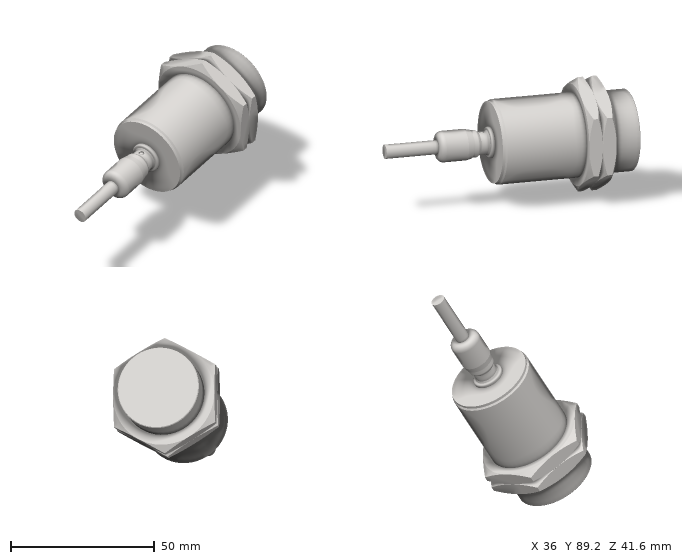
import cadquery as cq
import math

TOTAL_LENGTH = 89.2

BODY_RADIUS = 15.0
FACE_RADIUS = 14.45
BODY_END = 50.5
FACE_CHAMFER = 0.3
REAR_TAPER_START = 49.0
REAR_TAPER_END = 49.5

NUT_START = 10.0
NUT_WIDTH = 5.0
NUT_COUNT = 2
NUT_ACROSS_CORNERS = 41.6
NUT_CHAMFER_ANGLE = 30.0

CONNECTOR_RADIUS = 5.5
FLANGE_RIM_END = 51.2
FLANGE_ROUND = 0.5
FLANGE_CONE_RADIUS = 4.5
NECK_RADIUS = 4.0
NECK_START = 52.3
NECK_END = 54.95
COLLAR_RADIUS = 4.8
COLLAR_CONE_RADIUS = 4.6
COLLAR_CONE_END = 55.75
COLLAR_ROUND = 0.8
COLLAR_START = 56.3
COLLAR_END = 57.9
SHOULDER_RADIUS = 5.1
GRIP_START = 60.0
GRIP_END = 70.2
GRIP_ROUND = 2.05
CABLE_RADIUS = 2.5

LAMP_RADIUS = 1.0
LAMP_POSITION = 53.6
LAMP_TOP = NECK_RADIUS
LAMP_CENTER_HEIGHT = LAMP_TOP - LAMP_RADIUS


def turned(half_profile):
    """Revolve a closed profile drawn as (radius, Y) about the Y axis."""
    return half_profile.close().revolve(360, (0, 0, 0), (0, 1, 0))


def sensor_body():
    profile = (
        cq.Workplane("XY")
        .lineTo(FACE_RADIUS - FACE_CHAMFER, 0)
        .lineTo(FACE_RADIUS, -FACE_CHAMFER)
        .lineTo(FACE_RADIUS, -NUT_START)
        .lineTo(BODY_RADIUS, -NUT_START)
        .lineTo(BODY_RADIUS, -REAR_TAPER_START)
        .lineTo(FACE_RADIUS, -REAR_TAPER_END)
        .lineTo(FACE_RADIUS, -BODY_END)
        .lineTo(0, -BODY_END)
    )
    return turned(profile)


def nut(start):
    """Hexagonal nut with corners on Z, chamfered conically on both faces."""
    corner_radius = NUT_ACROSS_CORNERS / 2
    flat_radius = corner_radius * math.cos(math.pi / 6)
    chamfer_depth = (corner_radius - flat_radius) * math.tan(math.radians(NUT_CHAMFER_ANGLE))
    end = start + NUT_WIDTH
    hexagon = (
        cq.Workplane("XZ", origin=(0, -start, 0))
        .transformed(rotate=(0, 0, 90))
        .polygon(6, 2 * corner_radius)
        .extrude(NUT_WIDTH)
    )
    envelope = (
        cq.Workplane("XY")
        .moveTo(0, -start)
        .lineTo(flat_radius, -start)
        .lineTo(corner_radius, -start - chamfer_depth)
        .lineTo(corner_radius, -end + chamfer_depth)
        .lineTo(flat_radius, -end)
        .lineTo(0, -end)
    )
    return hexagon.intersect(turned(envelope))


def connector():
    """Flange, neck, collar, grip and cable as one turned shape."""
    profile = (
        cq.Workplane("XY")
        .moveTo(0, -BODY_END)
        .lineTo(CONNECTOR_RADIUS, -BODY_END)
        .lineTo(CONNECTOR_RADIUS, -FLANGE_RIM_END)
        .radiusArc((CONNECTOR_RADIUS - FLANGE_ROUND, -FLANGE_RIM_END - FLANGE_ROUND), FLANGE_ROUND)
        .lineTo(FLANGE_CONE_RADIUS, -FLANGE_RIM_END - FLANGE_ROUND)
        .lineTo(NECK_RADIUS, -NECK_START)
        .lineTo(NECK_RADIUS, -NECK_END)
        .lineTo(COLLAR_CONE_RADIUS, -COLLAR_CONE_END)
        .radiusArc((COLLAR_RADIUS, -COLLAR_START), COLLAR_ROUND)
        .lineTo(COLLAR_RADIUS, -COLLAR_END)
        .lineTo(SHOULDER_RADIUS, -COLLAR_END)
        .lineTo(CONNECTOR_RADIUS, -GRIP_START)
        .lineTo(CONNECTOR_RADIUS, -GRIP_END + GRIP_ROUND)
        .radiusArc((CONNECTOR_RADIUS - GRIP_ROUND, -GRIP_END), GRIP_ROUND)
        .lineTo(CABLE_RADIUS, -GRIP_END)
        .lineTo(CABLE_RADIUS, -TOTAL_LENGTH)
        .lineTo(0, -TOTAL_LENGTH)
    )
    return turned(profile)


def lamp_plane():
    """Horizontal plane through the lamp centre."""
    return cq.Workplane("XY", origin=(0, -LAMP_POSITION, LAMP_CENTER_HEIGHT))


def lamp_hole():
    """Hole with a domed floor that leaves the upper half of the lamp ball standing."""
    return lamp_plane().circle(LAMP_RADIUS).extrude(2 * LAMP_RADIUS).cut(lamp_plane().sphere(LAMP_RADIUS))


result = sensor_body().union(connector().cut(lamp_hole()))
for index in range(NUT_COUNT):
    result = result.union(nut(NUT_START + index * NUT_WIDTH))